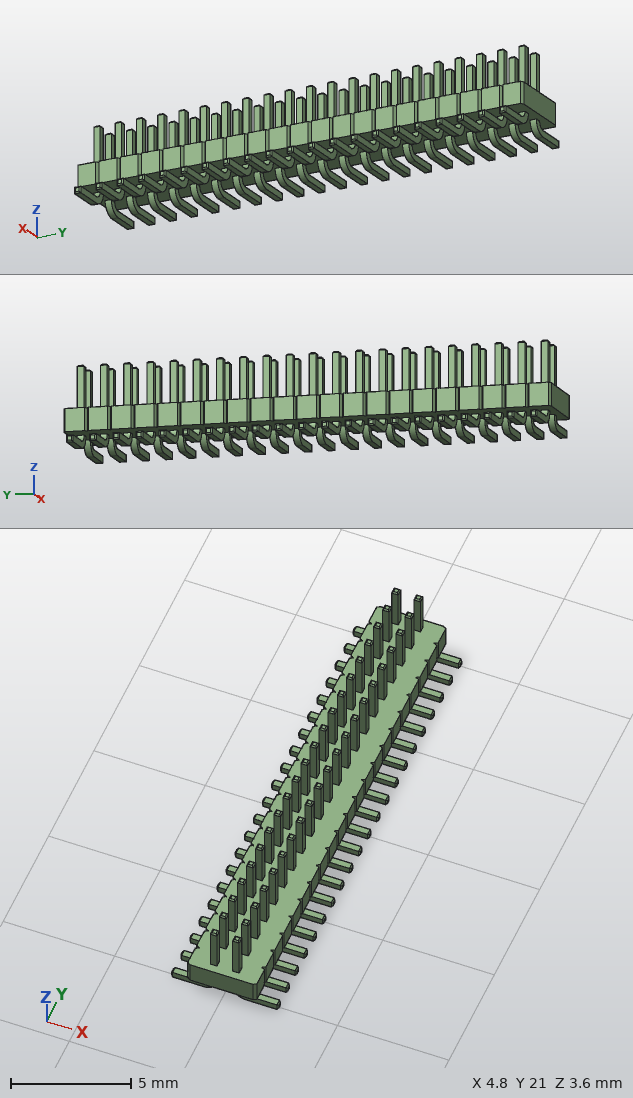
import cadquery as cq
import math

length = 21.0
width_over_feet = 4.8
height = 3.6

row_count = 21
pitch = length / row_count
row_positions = [(row - (row_count - 1) / 2) * pitch for row in range(row_count)]

housing_width = 3.1
housing_bottom = 0.6
housing_height = 0.99
notch_depth = 0.15
notch_half_width = 0.08

pin_size = 0.3
pin_x = pitch / 2
bend_inner_radius = housing_bottom - pin_size
bend_outer_radius = bend_inner_radius + pin_size
tip_chamfer = 0.06


def make_housing():
    """Row of joined segments whose side corners are bevelled, leaving V notches between rows."""
    half_width = housing_width / 2
    half_pitch = pitch / 2
    right_side = []
    for y in row_positions:
        right_side += [
            (half_width - notch_depth, y - half_pitch),
            (half_width, y - half_pitch + notch_half_width),
            (half_width, y + half_pitch - notch_half_width),
        ]
    right_side.append((half_width - notch_depth, length / 2))
    left_side = [(-x, y) for x, y in reversed(right_side)]
    return (
        cq.Workplane("XY")
        .workplane(offset=housing_bottom)
        .polyline(right_side + left_side)
        .close()
        .extrude(housing_height)
    )


def make_pin():
    """Right-hand pin: vertical post bent outwards into a flat foot, with bevelled tips."""
    inner_x = pin_x - pin_size / 2
    outer_x = pin_x + pin_size / 2
    foot_end = width_over_feet / 2
    bend_centre_x = outer_x + bend_inner_radius
    bend_centre_z = housing_bottom

    def middle_of_bend(radius):
        offset = radius * math.sqrt(0.5)
        return (bend_centre_x - offset, bend_centre_z - offset)

    pin = (
        cq.Workplane("XZ")
        .moveTo(inner_x, height)
        .lineTo(inner_x, bend_centre_z)
        .threePointArc(middle_of_bend(bend_outer_radius), (bend_centre_x, 0))
        .lineTo(foot_end, 0)
        .lineTo(foot_end, pin_size)
        .lineTo(bend_centre_x, pin_size)
        .threePointArc(middle_of_bend(bend_inner_radius), (outer_x, bend_centre_z))
        .lineTo(outer_x, height)
        .close()
        .extrude(pin_size / 2, both=True)
    )
    return pin.faces(">Z or >X").chamfer(tip_chamfer)


right_pin = make_pin()
left_pin = right_pin.mirror("YZ")

pins = []
for y in row_positions:
    for pin in (right_pin, left_pin):
        pins.append(pin.translate((0, y, 0)).val())

result = cq.Workplane(make_housing().val().fuse(*pins))